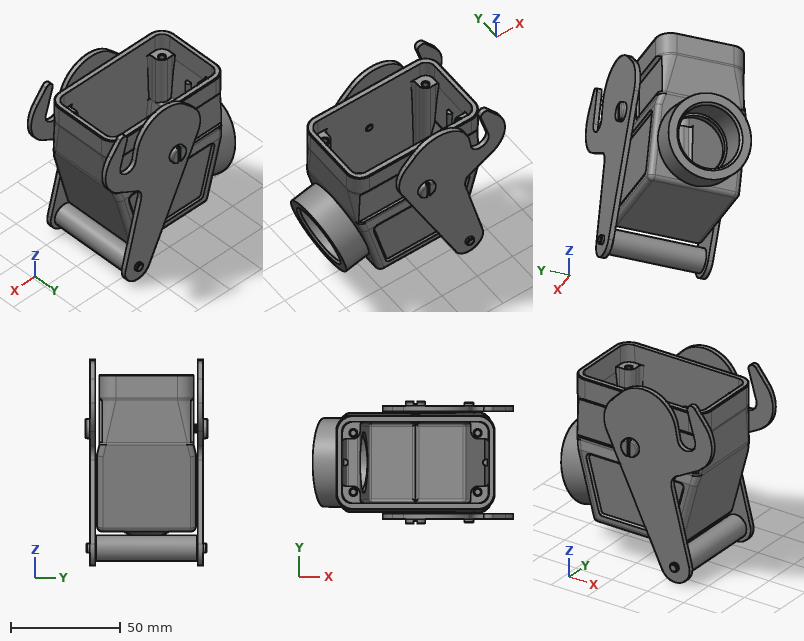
import cadquery as cq
import math


wall_overlap = 0.9
shortest_line = 0.001

tilt = 15.0
body_height = 39.7
body_half_length = 34.3
body_half_width = 22.7
body_corner_radius = 2.7
body_floor_radius = 2.5
shoulder_height = 35.35
rim_half_length = 36.4
rim_half_width = 21.6
rim_corner_radius = 7.6
rim_bottom = 61.3
rim_top = 71.9
rim_edge_chamfer = 0.5
neck_bottom = 41.0
neck_corner_radius = 3.1
neck_top = 60.5
neck_top_half_length = 36.2
side_recess_half_width = 20.2
side_recess_top = 59.7
screw_pad_half_length = 5.7

panel_top = 34.9
panel_bottom = 4.5
panel_bottom_half_length = 19.8
panel_corner_radius = 2.5
panel_depth = 0.9
panel_draft = 45.0

cavity_half_length = 33.7
cavity_half_width = 18.7
cavity_corner_radius = 4.7
cavity_taper_top = 60.5
cavity_taper_half_length = 33.4
cavity_foot_half_length = 31.7
cavity_foot_corner_radius = 1.9
chamber_half_width = 17.9
chamber_top = 36.9
floor_thickness = 2.8
chamber_entry_floor = 21.4
chamber_far_floor = 22.8
chamber_entry_top = 25.4
entry_ledge_radius = 1.4
ledge_root_radius = 0.9
chamber_edge_radius = 1.3
floor_ridge_radius = 1.4

post_top = 62.95
post_inner_x = 25.3
post_inner_y = 10.8
post_corner_radius = 3.8
post_root_radius = 1.7
post_hole_x = 28.45
post_hole_y = 13.5
post_hole_radius = 1.4
post_hole_depth = 11.3
post_hole_chamfer = 0.5
rib_top = 53.5
rib_radius = 1.4
rib_center_x = 32.3

entry_end_x = -41.9
entry_end_z = 16.9
entry_radius = 20.4
entry_length = 15.6
bore_radius = 15.0
bore_depth = 16.7
bore_chamfer = 1.1
inner_bore_radius = 13.9
inner_bore_depth = 22.7

plate_inner_y = 23.4
plate_thickness = 2.5
plate_outer_y = plate_inner_y + plate_thickness
roller_x = 24.5
roller_z = -7.6
roller_radius = 6.0
roller_half_length = 23.1
pin_radius = 2.2
pin_half_length = 27.5
pin_chamfer = 0.5
screw_z = 47.2
screw_head_radius = 4.5
screw_head_outer_y = 28.0
screw_head_fillet = 0.6
screw_slot_width = 1.6
screw_slot_depth = 1.1
screw_shank_radius = 2.0
screw_tip_y = 17.9
thread_depth = 0.4
thread_turns = 8

nose_x, nose_z, nose_radius = 30.0, 59.0, 14.9
hook_back_radius = 17.9
lever_circles = [
    (roller_x, roller_z, 8.0, 1),
    (28.0, 34.3, 5.8, -1),
    (nose_x, nose_z, nose_radius, 1),
    (nose_x + nose_radius - hook_back_radius, nose_z, hook_back_radius, 1),
    (33.6, 75.8, 2.4, 1),
    (30.7, 59.2, 5.0, -1),
    (7.0, 61.0, 18.0, 1),
    (0.0, 58.1, 15.0, 1),
]


def rounded_block(half_length, half_width, radius, bottom, top):
    """Upright block, centred on Z, with rounded vertical edges."""
    block = cq.Workplane("XY").workplane(offset=bottom).rect(2 * half_length, 2 * half_width)
    return block.extrude(top - bottom).edges("|Z").fillet(radius)


def rounded_wire(half_length, half_width, radius, height):
    """Rounded rectangle at a height, for lofting."""
    block = rounded_block(half_length, half_width, radius, height, height + 0.9)
    return block.faces("<Z").wires().val()


def tapered_block(*levels):
    """Straight-sided loft through rounded rectangles (half length, half width, radius, height)."""
    wires = [rounded_wire(*level) for level in levels]
    return cq.Workplane(obj=cq.Solid.makeLoft(wires, True))


def y_cylinder(x, z, radius, y_start, y_end):
    return cq.Workplane("XZ", origin=(x, y_start, z)).circle(radius).extrude(y_start - y_end)


def both_sides(shape):
    """The shape together with its mirror image across the XZ plane."""
    return shape.union(shape.mirror("XZ"))


def lower_body():
    """Trapezoid body whose long sides lean in above the shoulder."""
    bottom_half_length = body_half_length - body_height * math.tan(math.radians(tilt))
    body = (
        cq.Workplane("XZ")
        .polyline([
            (-bottom_half_length, 0),
            (bottom_half_length, 0),
            (body_half_length, body_height),
            (-body_half_length, body_height),
        ])
        .close()
        .extrude(body_half_width, both=True)
    )
    section = (
        cq.Workplane("YZ")
        .polyline([
            (-body_half_width, 0),
            (body_half_width, 0),
            (body_half_width, shoulder_height),
            (rim_half_width, body_height),
            (-rim_half_width, body_height),
            (-body_half_width, shoulder_height),
        ])
        .close()
        .extrude(body_half_length, both=True)
    )
    body = body.intersect(section)
    body = body.edges("not(|X or |Y)").fillet(body_corner_radius)
    return body.faces("<Z").edges().fillet(body_floor_radius)


def neck_and_rim():
    """Tapered neck below a straight rim, with its long sides set back beside the screw pads."""
    neck = tapered_block(
        (body_half_length, rim_half_width, neck_corner_radius, body_height),
        (body_half_length, rim_half_width, neck_corner_radius, neck_bottom),
        (neck_top_half_length, rim_half_width, rim_corner_radius, neck_top),
        (rim_half_length, rim_half_width, rim_corner_radius, rim_bottom),
    )
    recess = (
        cq.Workplane("YZ", origin=(screw_pad_half_length, 0, 0))
        .polyline([
            (side_recess_half_width, neck_bottom),
            (rim_half_width, neck_bottom),
            (rim_half_width, rim_bottom),
            (side_recess_half_width, side_recess_top),
        ])
        .close()
        .extrude(rim_half_length - screw_pad_half_length)
    )
    recess = recess.union(recess.mirror("YZ"))
    rim = rounded_block(rim_half_length, rim_half_width, rim_corner_radius, rim_bottom, rim_top)
    rim = rim.faces(">Z").edges().chamfer(rim_edge_chamfer)
    return neck.cut(both_sides(recess)).union(rim)


def side_panels():
    """Shallow drafted recesses in the long sides of the lower body."""
    top_half_length = panel_bottom_half_length + (panel_top - panel_bottom) * math.tan(math.radians(tilt))
    outline = (
        cq.Sketch()
        .polygon([
            (-panel_bottom_half_length, panel_bottom),
            (panel_bottom_half_length, panel_bottom),
            (top_half_length, panel_top),
            (-top_half_length, panel_top),
            (-panel_bottom_half_length, panel_bottom),
        ])
        .vertices()
        .fillet(panel_corner_radius)
    )
    panel = (
        cq.Workplane("XZ", origin=(0, -body_half_width, 0))
        .placeSketch(outline)
        .extrude(-panel_depth, taper=panel_draft)
    )
    return both_sides(panel)


def posts():
    """Four corner posts with a screw hole each."""
    wall_x = cavity_half_length
    wall_y = wall_half_width(post_top)
    outside_x = wall_x + wall_overlap
    outside_y = wall_y + wall_overlap
    root_x = post_inner_x - 2 * post_root_radius
    root_y = post_inner_y - 2 * post_root_radius
    post = (
        cq.Workplane("XY")
        .polyline([
            (outside_x, outside_y),
            (root_x, outside_y),
            (root_x, wall_y),
            (post_inner_x, wall_y),
            (post_inner_x, post_inner_y),
            (wall_x, post_inner_y),
            (wall_x, root_y),
            (outside_x, root_y),
        ])
        .close()
        .extrude(post_top)
    )
    for corner, radius in [
        ((post_inner_x, post_inner_y), post_corner_radius),
        ((post_inner_x, wall_y), post_root_radius),
        ((wall_x, post_inner_y), post_root_radius),
    ]:
        edge = cq.selectors.NearestToPointSelector((*corner, post_top / 2))
        post = post.edges(edge).fillet(radius)
    hole = (
        cq.Workplane("XY", origin=(post_hole_x, post_hole_y, post_top - post_hole_depth))
        .circle(post_hole_radius)
        .extrude(post_hole_depth)
    )
    mouth = cq.Workplane(obj=cq.Solid.makeCone(
        post_hole_radius, post_hole_radius + post_hole_chamfer, post_hole_chamfer,
        pnt=cq.Vector(post_hole_x, post_hole_y, post_top - post_hole_chamfer),
    ))
    pair = both_sides(post.cut(hole).cut(mouth))
    return pair.union(pair.mirror("YZ"))


def guide_ribs():
    """Round-nosed rib in the middle of each end wall."""
    nose = cq.Workplane("XY", origin=(rib_center_x, 0, 0)).circle(rib_radius).extrude(rib_top)
    root_length = cavity_half_length + wall_overlap - rib_center_x
    root = (
        cq.Workplane("XY", origin=(rib_center_x + root_length / 2, 0, 0))
        .rect(root_length, 2 * rib_radius)
        .extrude(rib_top)
    )
    rib = nose.union(root)
    return rib.union(rib.mirror("YZ"))


def floor_ridge():
    """Low ridge across the floor: two hollow arcs that meet in a crest."""
    radius = floor_ridge_radius
    arc_offset = radius * math.sqrt(0.5)
    crest = floor_thickness + radius
    return (
        cq.Workplane("XZ")
        .moveTo(-radius, floor_thickness)
        .threePointArc((arc_offset - radius, crest - arc_offset), (0, crest))
        .threePointArc((radius - arc_offset, crest - arc_offset), (radius, floor_thickness))
        .close()
        .extrude(chamber_half_width, both=True)
    )


def wall_half_width(height):
    """Half-width between the cavity's long walls, which lean out evenly from floor to rim."""
    rise = (height - floor_thickness) / (rim_top - floor_thickness)
    return chamber_half_width + rise * (cavity_half_width - chamber_half_width)


def cavity():
    """Hollow of the housing: open upper part over a chamber with sloping end walls."""
    foot_half_width = wall_half_width(chamber_top)
    taper_half_width = wall_half_width(cavity_taper_top)
    upper = tapered_block(
        (cavity_foot_half_length, foot_half_width, cavity_foot_corner_radius, chamber_top),
        (cavity_taper_half_length, taper_half_width, cavity_corner_radius, cavity_taper_top),
        (cavity_half_length, cavity_half_width, cavity_corner_radius, rim_top),
    )
    chamber_rise = chamber_top - floor_thickness
    chamber_far_top = chamber_far_floor + chamber_rise * math.tan(math.radians(tilt))
    chamber = (
        cq.Workplane("XZ")
        .polyline([
            (-chamber_entry_floor, floor_thickness),
            (chamber_far_floor, floor_thickness),
            (chamber_far_top, chamber_top),
            (-chamber_entry_top, chamber_top),
        ])
        .close()
        .extrude(cavity_half_width, both=True)
    )
    long_walls = (
        cq.Workplane("YZ")
        .polyline([
            (-chamber_half_width, floor_thickness),
            (chamber_half_width, floor_thickness),
            (foot_half_width, chamber_top),
            (-foot_half_width, chamber_top),
        ])
        .close()
        .extrude(cavity_half_length, both=True)
    )
    chamber = chamber.intersect(long_walls).edges("not >Z").fillet(chamber_edge_radius)
    hollow = upper.union(chamber)
    ledge_edge = cq.selectors.NearestToPointSelector((-chamber_entry_top, 0, chamber_top))
    ledge_root = cq.selectors.NearestToPointSelector((-cavity_foot_half_length, 0, chamber_top))
    hollow = hollow.edges(ledge_edge).fillet(entry_ledge_radius)
    hollow = hollow.edges(ledge_root).fillet(ledge_root_radius)
    return hollow.cut(posts()).cut(guide_ribs()).cut(floor_ridge())


def entry_plane():
    """Plane of the cable entry's outer end, facing into the housing."""
    slope = math.radians(tilt)
    return cq.Plane(
        origin=(entry_end_x, 0, entry_end_z),
        xDir=(0, 1, 0),
        normal=(math.cos(slope), 0, math.sin(slope)),
    )


def entry_bores():
    """Chamfered outer bore and the smaller bore that opens into the chamber."""
    plane = entry_plane()
    bore = cq.Workplane(plane).circle(bore_radius).extrude(bore_depth)
    inner_bore = cq.Workplane(plane).circle(inner_bore_radius).extrude(inner_bore_depth)
    mouth = cq.Workplane(obj=cq.Solid.makeCone(
        bore_radius + bore_chamfer, bore_radius, bore_chamfer, pnt=plane.origin, dir=plane.zDir,
    ))
    return bore.union(inner_bore).union(mouth)


def housing():
    entry = cq.Workplane(entry_plane()).circle(entry_radius).extrude(entry_length)
    outside = lower_body().union(neck_and_rim()).cut(side_panels()).union(entry)
    return outside.cut(cavity()).cut(entry_bores())


def tangent_line(first, second):
    """Ends of the line that leaves the first circle and joins the second, following their turns."""
    x1, z1, radius1, turn1 = first
    x2, z2, radius2, turn2 = second
    distance = math.hypot(x2 - x1, z2 - z1)
    offset = (turn2 * radius2 - turn1 * radius1) / distance
    heading = math.atan2(z2 - z1, x2 - x1) - math.asin(max(-1, min(1, offset)))
    normal_x, normal_z = -math.sin(heading), math.cos(heading)
    start = (x1 - turn1 * radius1 * normal_x, z1 - turn1 * radius1 * normal_z)
    finish = (x2 - turn2 * radius2 * normal_x, z2 - turn2 * radius2 * normal_z)
    return start, finish


def arc_middle(circle, start, finish):
    """Point halfway along the arc between two points of a circle, following its turn."""
    x, z, radius, turn = circle
    start_angle = math.atan2(start[1] - z, start[0] - x)
    finish_angle = math.atan2(finish[1] - z, finish[0] - x)
    sweep = (turn * (finish_angle - start_angle)) % (2 * math.pi)
    middle_angle = start_angle + turn * sweep / 2
    return x + radius * math.cos(middle_angle), z + radius * math.sin(middle_angle)


def lever_plate():
    """Latch plate on the -Y side."""
    count = len(lever_circles)
    lines = [tangent_line(lever_circles[i], lever_circles[(i + 1) % count]) for i in range(count)]
    position = lines[-1][1]
    outline = cq.Workplane("XZ", origin=(0, -plate_inner_y, 0)).moveTo(*position)
    for circle, (start, finish) in zip(lever_circles, lines):
        outline = outline.threePointArc(arc_middle(circle, position, start), start)
        if math.dist(start, finish) > shortest_line:
            outline = outline.lineTo(*finish)
        position = finish
    return outline.close().extrude(plate_thickness)


def screw_head():
    """Slotted pivot screw head on the -Y plate."""
    head = y_cylinder(0, screw_z, screw_head_radius, -plate_outer_y, -screw_head_outer_y)
    head = head.faces("<Y").edges().fillet(screw_head_fillet)
    slot = cq.Workplane("XY").box(screw_slot_width, 2 * screw_slot_depth, 2 * screw_head_radius)
    return head.cut(slot.translate((0, -screw_head_outer_y, screw_z)))


def screw_shank():
    """Threaded shank from the +Y plate into the housing, with the thread as plain rings."""
    pitch = (plate_inner_y - screw_tip_y) / thread_turns
    root_radius = screw_shank_radius - thread_depth
    profile = cq.Workplane("XY", origin=(0, 0, screw_z)).moveTo(0, screw_tip_y)
    profile = profile.lineTo(root_radius, screw_tip_y)
    for turn in range(thread_turns):
        ring_y = screw_tip_y + turn * pitch
        profile = profile.lineTo(screw_shank_radius, ring_y + pitch / 2)
        profile = profile.lineTo(root_radius, ring_y + pitch)
    return profile.lineTo(0, plate_inner_y).close().revolve(360, (0, 0), (0, 1))


def latch():
    """Both plates with their screws, the handle roller and its pin."""
    sides = both_sides(lever_plate().union(screw_head()))
    pin = y_cylinder(roller_x, roller_z, pin_radius, -pin_half_length, pin_half_length)
    pin = pin.faces("<Y or >Y").edges().chamfer(pin_chamfer)
    roller = y_cylinder(roller_x, roller_z, roller_radius, -roller_half_length, roller_half_length)
    return sides.union(pin).union(roller).union(screw_shank())


result = housing().union(latch())